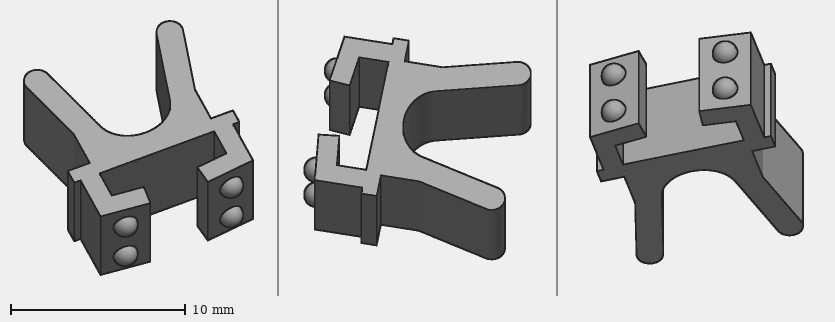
import cadquery as cq
import math

length = 11.86
width = 10.4
height = 5.8

tip_radius = 0.77
tip_center_y = 4.17
arm_angle = math.radians(15)
body_half_width = 3.82

throat_bottom_x = 6.65
throat_depth_radius = 1.89

flange_start_x = 7.29
flange_end_x = 8.2
back_taper = 0.1

hook_outer_y = 4.8
hook_inner_y = 3.6
hook_corner_x = 10.98
hook_angle = math.radians(6.1)
hook_length = 3.01
hook_thickness = 1.2

ball_radius = 0.72
ball_y = 3.32
ball_edge_distance = 1.45

tip_offset_x = tip_radius * math.sin(arm_angle)
tip_offset_y = tip_radius * math.cos(arm_angle)
outer_tangent = (tip_radius + tip_offset_x, tip_center_y + tip_offset_y)
inner_tangent = (tip_radius - tip_offset_x, tip_center_y - tip_offset_y)
arm_root_x = outer_tangent[0] + (outer_tangent[1] - body_half_width) / math.tan(arm_angle)
tip_point = (
    tip_radius - tip_radius * math.cos(arm_angle),
    tip_center_y - tip_radius * math.sin(arm_angle),
)

throat_center_x = throat_bottom_x - throat_depth_radius
arm_distance = (
    (inner_tangent[0] - throat_center_x) * math.sin(arm_angle)
    + inner_tangent[1] * math.cos(arm_angle)
)
throat_side_radius = (
    math.sqrt(arm_distance**2 - (throat_depth_radius * math.sin(arm_angle)) ** 2)
    / math.cos(arm_angle)
)
throat_end_angle = math.degrees(
    math.atan2(
        throat_side_radius * math.cos(arm_angle),
        throat_depth_radius * math.sin(arm_angle),
    )
)

lean_x = math.sin(hook_angle)
lean_y = math.cos(hook_angle)
hook_tip_rear = (hook_corner_x + hook_length * lean_x, hook_outer_y - hook_length * lean_y)
hook_tip_front = (
    hook_tip_rear[0] - hook_thickness * lean_y,
    hook_tip_rear[1] - hook_thickness * lean_x,
)
hook_inner_x = hook_tip_front[0] - (hook_inner_y - hook_tip_front[1]) * math.tan(hook_angle)


def half_profile():
    """Half of the clip on the +Y side, extruded to full height."""
    return (
        cq.Workplane("XY")
        .moveTo(throat_bottom_x, 0)
        .ellipseArc(throat_depth_radius, throat_side_radius, 0, throat_end_angle)
        .lineTo(*inner_tangent)
        .threePointArc(tip_point, outer_tangent)
        .lineTo(arm_root_x, body_half_width)
        .lineTo(flange_start_x, body_half_width)
        .lineTo(flange_start_x, width / 2)
        .lineTo(flange_end_x, width / 2)
        .lineTo(flange_end_x, hook_outer_y)
        .lineTo(hook_corner_x, hook_outer_y)
        .lineTo(*hook_tip_rear)
        .lineTo(*hook_tip_front)
        .lineTo(hook_inner_x, hook_inner_y)
        .lineTo(flange_end_x, hook_inner_y)
        .lineTo(flange_end_x, 0)
        .close()
        .extrude(height)
    )


def back_wedge():
    """Taper that thickens the back face toward the bottom, between the hooks."""
    return (
        cq.Workplane("XZ", origin=(0, hook_inner_y, 0))
        .moveTo(flange_end_x, 0)
        .lineTo(flange_end_x + back_taper, 0)
        .lineTo(flange_end_x, height)
        .close()
        .extrude(2 * hook_inner_y)
    )


def contact_balls():
    """Domes on the rear faces, with their axes normal to the leaning faces."""
    balls = cq.Workplane("XY")
    for side in (-1, 1):
        normal = cq.Vector(lean_y, side * lean_x, 0)
        for z in (ball_edge_distance, height - ball_edge_distance):
            center = cq.Vector(length - ball_radius, side * ball_y, z)
            balls = balls.add(cq.Solid.makeSphere(ball_radius, center, normal, -90, 90, 360))
    return balls.combine()


half = half_profile()
clip = half.union(half.mirror("XZ")).union(back_wedge())
result = clip.union(contact_balls()).clean()